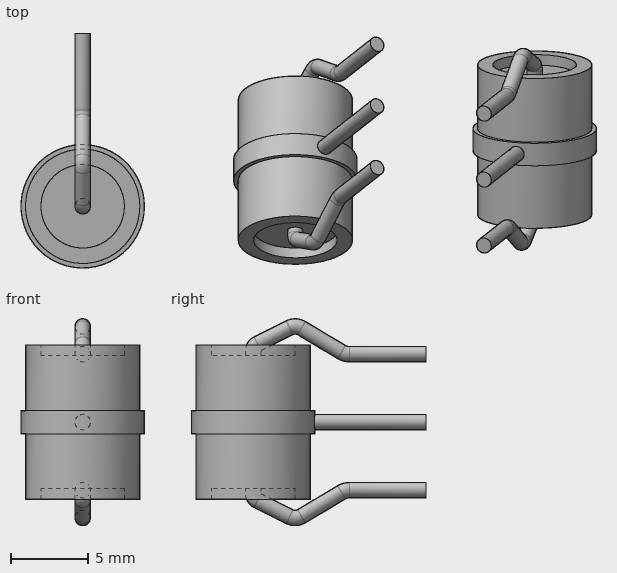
import cadquery as cq
import math

body_diameter = 7.4
body_length = 10.0
recess_diameter = 5.4
recess_depth = 0.7

ring_diameter = 8.0
ring_width = 1.5

wire_diameter = 1.0
lead_end_y = 11.2
lead_pitch = 4.4

inner_slope = math.atan(0.5)
outer_slope = math.radians(30.8)
foot_bend_radius = 0.51
arch_bend_radius = 0.8
level_bend_radius = 1.0
arch_peak_y = 2.72
arch_peak_z = 6.2

recess_floor_z = body_length / 2 - recess_depth


def cylinder(diameter, length):
    """Cylinder along Z, centred on the origin."""
    return cq.Workplane("XY").circle(diameter / 2).extrude(length / 2, both=True)


def make_body():
    """Body with its middle ring and end recesses."""
    body = cylinder(body_diameter, body_length).union(cylinder(ring_diameter, ring_width))
    for end in (1, -1):
        recess = (
            cq.Workplane("XY", origin=(0, 0, end * body_length / 2))
            .circle(recess_diameter / 2)
            .extrude(-end * recess_depth)
        )
        body = body.cut(recess)
    return body


def point_on_bend(center, radius, angle):
    """Point on a bend, with the angle measured from +Y towards +Z."""
    return (center[0] + radius * math.cos(angle), center[1] + radius * math.sin(angle))


def upper_lead():
    """Bent lead from the upper recess floor to the level run; path points are (Y, Z)."""
    up = math.pi / 2

    arch_center = (arch_peak_y, arch_peak_z - arch_bend_radius)
    arch_start = point_on_bend(arch_center, arch_bend_radius, up + inner_slope)
    arch_end = point_on_bend(arch_center, arch_bend_radius, up - outer_slope)

    foot_center_y = foot_bend_radius
    foot_end_y = foot_center_y + foot_bend_radius * math.cos(up + inner_slope)
    foot_end_z = arch_start[1] - (arch_start[0] - foot_end_y) * math.tan(inner_slope)
    foot_center = (foot_center_y, foot_end_z - foot_bend_radius * math.cos(inner_slope))
    foot_middle = point_on_bend(foot_center, foot_bend_radius, (math.pi + up + inner_slope) / 2)

    level_center_z = lead_pitch + level_bend_radius
    level_start_z = level_center_z - level_bend_radius * math.cos(outer_slope)
    level_start_y = arch_end[0] + (arch_end[1] - level_start_z) / math.tan(outer_slope)
    level_center = (level_start_y + level_bend_radius * math.sin(outer_slope), level_center_z)
    level_middle = point_on_bend(level_center, level_bend_radius, -up - outer_slope / 2)

    path = (
        cq.Workplane("YZ")
        .moveTo(0, recess_floor_z)
        .lineTo(0, foot_center[1])
        .threePointArc(foot_middle, (foot_end_y, foot_end_z))
        .lineTo(*arch_start)
        .threePointArc((arch_peak_y, arch_peak_z), arch_end)
        .lineTo(level_start_y, level_start_z)
        .threePointArc(level_middle, (level_center[0], lead_pitch))
        .lineTo(lead_end_y, lead_pitch)
    )
    profile = cq.Workplane("XY", origin=(0, 0, recess_floor_z)).circle(wire_diameter / 2)
    return profile.sweep(path)


def middle_lead():
    """Straight lead from the body axis out through the ring."""
    return cq.Workplane("XZ").circle(wire_diameter / 2).extrude(-lead_end_y)


bent_lead = upper_lead()
result = make_body().union(middle_lead()).union(bent_lead).union(bent_lead.mirror("XY"))